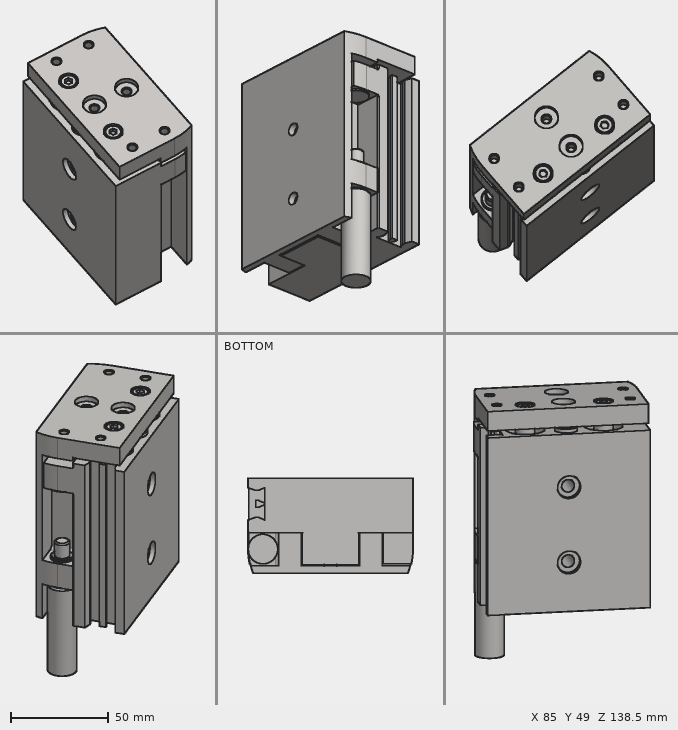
import cadquery as cq


housing_width = 85.0
housing_bottom = 30.7
housing_top = 125.2
housing_depth = 28.3
edge_chamfer = 0.7
half_housing = housing_width / 2

side_recess = 4.0
recess_outer_half = 8.3
recess_inner_half = 6.9
slot_pitch = 8.7
slot_mouth = 5.3
slot_neck = 1.5
slot_flare = 3.2
slot_width = 7.9
slot_center_y = 13.3

mount_hole_diameter = 6.6
mount_spacing = 40.0
mount_lower_z = 56.9
counterbore_diameter = 12.0
counterbore_depth = 2.9

table_width = 84.3
table_front = 2.6
table_bottom = 31.3
table_top = 138.5
table_back = 49.0
plate_underside = 128.3
back_inner_y = 45.2
half_table = table_width / 2
side_arc_start_y = 36.5
side_arc_inset = 2.4

pocket_wall_x = 26.6
pocket_ceiling = 126.5
pocket_fillet = 2.0
right_pocket_ceiling = 124.6
lug_top = 65.2
lug_bottom = 51.2
groove_width = 30.2
groove_fillet = 3.0

rail_clearance = 0.7
rail_back_y = 44.6
stop_inner_x = 27.1
stop_back_y = 44.2
stop_bottom = 107.8
stop_top = 122.3
stop_web_run = 1.1
pad_diameter = 13.6
pad_height = 1.0

thread_diameter = 4.2
thread_chamfer = 0.5
thread_depth = 6.9
thread_spacing_x = 34.9
thread_front_y = 15.5
thread_back_y = 35.5

rod_diameter = 10.0
rod_spacing = 41.0
rod_y = 13.3
rod_bottom = 41.5
gland_diameter = 20.0
gland_depth = 4.2
rod_shoulder_drop = 1.7
screw_end_diameter = 8.5
screw_end_drop = 0.3
screw_end_chamfer = 0.3
socket_corners = 4.3
socket_depth = 2.1

bumper_diameter = 11.8
bumper_cone_diameter = 8.6
bumper_top_diameter = 7.9
bumper_y = 8.5
bumper_shoulder = 127.1

absorber_x = -34.8
absorber_y = side_arc_start_y
absorber_diameter = 15.2
absorber_shoulder = 50.5
absorber_chamfer = 1.0
neck_diameter = 12.0
neck_top = 66.6
neck_chamfer = 0.5
pin_diameter = 8.0
pin_top = 75.0
pin_chamfer = 0.8


def block(x_range, y_range, z_range):
    """Box between two values on each axis."""
    (x0, x1), (y0, y1), (z0, z1) = x_range, y_range, z_range
    return cq.Workplane("XY").box(x1 - x0, y1 - y0, z1 - z0, centered=False).translate((x0, y0, z0))


def cylinder(center, diameter, bottom, top):
    """Vertical cylinder."""
    height = top - bottom
    return cq.Workplane("XY", origin=(*center, bottom)).circle(diameter / 2).extrude(height)


def cone(center, bottom_diameter, top_diameter, bottom, top):
    """Vertical truncated cone."""
    return (
        cq.Workplane("XY", origin=(*center, bottom))
        .circle(bottom_diameter / 2)
        .workplane(offset=top - bottom)
        .circle(top_diameter / 2)
        .loft()
    )


def rounded_body(half_width, front, back, bottom, top):
    """Block whose sides curve inward behind side_arc_start_y, on a common arc centre."""
    arc_length_y = table_back - side_arc_start_y
    table_radius = (arc_length_y**2 + side_arc_inset**2) / (2 * side_arc_inset)
    radius = table_radius + half_width - half_table

    def side_x(y):
        return half_width - radius + (radius**2 - (y - side_arc_start_y) ** 2) ** 0.5

    middle_y = (side_arc_start_y + back) / 2
    return (
        cq.Workplane("XY", origin=(0, 0, bottom))
        .moveTo(-half_width, front)
        .lineTo(half_width, front)
        .lineTo(half_width, side_arc_start_y)
        .threePointArc((side_x(middle_y), middle_y), (side_x(back), back))
        .lineTo(-side_x(back), back)
        .threePointArc((-side_x(middle_y), middle_y), (-half_width, side_arc_start_y))
        .close()
        .extrude(top - bottom)
    )


def mounting_holes():
    """Counterbored holes along Y, long enough to pass through the whole part."""
    centers = [(0, mount_lower_z), (0, mount_lower_z + mount_spacing)]
    face = cq.Workplane("XZ").pushPoints(centers)
    holes = face.circle(mount_hole_diameter / 2).extrude(-table_back)
    return holes.union(face.circle(counterbore_diameter / 2).extrude(-counterbore_depth))


def sensor_slots():
    """Recess in the left side with two undercut slots in its floor."""
    height = housing_top - housing_bottom
    floor_x = -half_housing + side_recess
    plane = cq.Workplane("XY", origin=(0, slot_center_y, housing_bottom))
    cutter = plane.polyline(
        [
            (-half_housing, -recess_outer_half),
            (floor_x, -recess_inner_half),
            (floor_x, recess_inner_half),
            (-half_housing, recess_outer_half),
        ]
    ).close().extrude(height)
    neck_x = floor_x + slot_neck
    flare_x = neck_x + slot_flare
    for side in (-1, 1):
        middle = side * slot_pitch / 2
        slot = plane.polyline(
            [
                (floor_x, middle - slot_mouth / 2),
                (neck_x, middle - slot_mouth / 2),
                (flare_x, middle - slot_width / 2),
                (flare_x, middle + slot_width / 2),
                (neck_x, middle + slot_mouth / 2),
                (floor_x, middle + slot_mouth / 2),
            ]
        ).close().extrude(height)
        cutter = cutter.union(slot)
    return cutter


def rod_centers():
    """Positions of the two piston rods in X and Y."""
    return [(side * rod_spacing / 2, rod_y) for side in (-1, 1)]


def build_housing():
    body = block((-half_housing, half_housing), (0, housing_depth), (housing_bottom, housing_top))
    body = body.edges("|Z and >Y and <X").chamfer(edge_chamfer)
    body = body.cut(sensor_slots())

    stop_front_y = housing_depth - edge_chamfer
    stops = rounded_body(half_housing, stop_front_y, stop_back_y, stop_bottom, stop_top)
    between_stops = block(
        (-stop_inner_x, stop_inner_x), (housing_depth, stop_back_y), (stop_bottom, stop_top)
    )
    body = body.union(stops.cut(between_stops))
    web = (
        cq.Workplane("YZ", origin=(-half_housing, 0, 0))
        .polyline(
            [
                (stop_front_y, stop_bottom - stop_web_run),
                (housing_depth, stop_bottom),
                (housing_depth, stop_top),
                (stop_front_y, stop_top + stop_web_run),
            ]
        )
        .close()
        .extrude(edge_chamfer)
    )
    body = body.union(web)
    pad = cylinder((absorber_x, absorber_y), pad_diameter, stop_bottom - pad_height, stop_bottom)
    body = body.union(pad)

    half_rail = groove_width / 2 - rail_clearance
    rail = block((-half_rail, half_rail), (housing_depth, rail_back_y), (housing_bottom, housing_top))
    body = body.union(rail)

    for center in rod_centers():
        body = body.cut(cylinder(center, rod_diameter, rod_bottom, housing_top))
        body = body.cut(cylinder(center, gland_diameter, housing_top - gland_depth, housing_top))
    return body.cut(mounting_holes())


def table_pockets():
    """Two pockets on the left, parted by the absorber lug, and one on the right."""
    depth = (housing_depth, back_inner_y)
    left = (-half_housing, -pocket_wall_x)
    right = (pocket_wall_x, half_housing)
    upper = block(left, depth, (lug_top, pocket_ceiling))
    upper = upper.edges("|Y and >X").fillet(pocket_fillet)
    lower = block(left, depth, (table_bottom, lug_bottom))
    lower = lower.edges("|Y and >X and >Z").fillet(pocket_fillet)
    opposite = block(right, depth, (table_bottom, right_pocket_ceiling))
    opposite = opposite.edges("|Y and <X and >Z").fillet(pocket_fillet)
    return [upper, lower, opposite]


def threaded_hole(center, top):
    """Cutter for a blind hole with a chamfered mouth."""
    hole = cylinder(center, thread_diameter, top - thread_depth, top)
    mouth = cone(
        center, thread_diameter, thread_diameter + 2 * thread_chamfer, top - thread_chamfer, top
    )
    return hole.union(mouth)


def build_table():
    body = rounded_body(half_table, table_front, table_back, table_bottom, table_top)
    under_plate = block(
        (-half_housing, half_housing), (table_front, housing_depth), (table_bottom, plate_underside)
    )
    body = body.cut(under_plate)
    for pocket in table_pockets():
        body = body.cut(pocket)

    half_groove = groove_width / 2
    groove = block(
        (-half_groove, half_groove), (housing_depth, back_inner_y), (table_bottom, pocket_ceiling)
    )
    body = body.cut(groove.edges("|Y and >Z").fillet(groove_fillet))

    for y in (thread_front_y, thread_back_y):
        center = (0, y)
        floor_z = table_top - counterbore_depth
        body = body.cut(cylinder(center, counterbore_diameter, floor_z, table_top))
        body = body.cut(threaded_hole(center, floor_z))
        for x in (-thread_spacing_x, thread_spacing_x):
            body = body.cut(threaded_hole((x, y), table_top))

    for center in rod_centers():
        body = body.cut(cylinder(center, rod_diameter, plate_underside, table_top))
    body = body.cut(cylinder((absorber_x, absorber_y), neck_diameter, lug_bottom, lug_top))
    return body.cut(mounting_holes())


def build_piston_rod(center):
    shoulder = table_top - rod_shoulder_drop
    top = table_top - screw_end_drop
    shaft = cylinder(center, rod_diameter, rod_bottom, shoulder)
    screw_end = cylinder(center, screw_end_diameter, shoulder, top)
    body = shaft.union(screw_end.faces(">Z").edges().chamfer(screw_end_chamfer))
    socket = (
        cq.Workplane("XY", origin=(*center, top))
        .transformed(rotate=(0, 0, 90))
        .polygon(6, socket_corners)
        .extrude(-socket_depth)
    )
    return body.cut(socket)


def build_bumper():
    center = (0, bumper_y)
    base = cylinder(center, bumper_diameter, housing_top, bumper_shoulder)
    tip = cone(center, bumper_cone_diameter, bumper_top_diameter, bumper_shoulder, plate_underside)
    return base.union(tip)


def build_shock_absorber():
    center = (absorber_x, absorber_y)
    barrel = cylinder(center, absorber_diameter, 0, absorber_shoulder)
    barrel = barrel.faces(">Z").edges().chamfer(absorber_chamfer)
    neck = cylinder(center, neck_diameter, absorber_shoulder, neck_top)
    neck = neck.faces(">Z").edges().chamfer(neck_chamfer)
    pin = cylinder(center, pin_diameter, neck_top, pin_top)
    pin = pin.faces(">Z").edges().chamfer(pin_chamfer)
    return barrel.union(neck).union(pin)


housing = build_housing()
table = build_table()
piston_rods = [build_piston_rod(center) for center in rod_centers()]
bumper = build_bumper()
shock_absorber = build_shock_absorber()

result = cq.Compound.makeCompound(
    [
        housing.val(),
        table.val(),
        *[piston_rod.val() for piston_rod in piston_rods],
        bumper.val(),
        shock_absorber.val(),
    ]
)